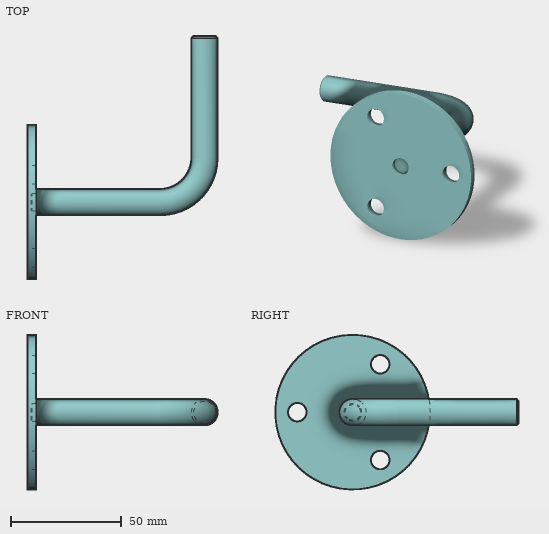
import cadquery as cq

plate_diameter = 70.0
plate_thickness = 4.0
screw_hole_diameter = 8.2
screw_circle_radius = 25.0
screw_hole_count = 3
spigot_hole_diameter = 8.0

rod_diameter = 12.0
bend_radius = 20.0
overall_x = 86.0
overall_y = 110.0
tip_chamfer = 1.0

spigot_diameter = spigot_hole_diameter
spigot_recess = 1.5
spigot_chamfer = 0.5

rod_radius = rod_diameter / 2
arm_x = overall_x - rod_radius
bend_start_x = arm_x - bend_radius
tip_y = overall_y - plate_diameter / 2


def make_plate():
    """Disc with a ring of screw holes and a central hole for the spigot."""
    plate = cq.Workplane("YZ").circle(plate_diameter / 2).extrude(plate_thickness)
    screw_holes = (
        cq.Workplane("YZ")
        .polarArray(screw_circle_radius, 180, 360, screw_hole_count)
        .circle(screw_hole_diameter / 2)
        .extrude(plate_thickness)
    )
    spigot_hole = cq.Workplane("YZ").circle(spigot_hole_diameter / 2).extrude(plate_thickness)
    return plate.cut(screw_holes).cut(spigot_hole)


def make_rod():
    """Round bar with one right-angle bend, a chamfered tip and a chamfered spigot."""
    path = (
        cq.Workplane("XY")
        .moveTo(plate_thickness, 0)
        .lineTo(bend_start_x, 0)
        .radiusArc((arm_x, bend_radius), -bend_radius)
        .lineTo(arm_x, tip_y)
    )
    bar = cq.Workplane("YZ", origin=(plate_thickness, 0, 0)).circle(rod_radius).sweep(path)
    bar = bar.faces(">Y").chamfer(tip_chamfer)
    spigot = (
        cq.Workplane("YZ", origin=(spigot_recess, 0, 0))
        .circle(spigot_diameter / 2)
        .extrude(plate_thickness - spigot_recess)
        .faces("<X")
        .chamfer(spigot_chamfer)
    )
    return bar.union(spigot)


plate = make_plate()
rod = make_rod()

result = cq.Compound.makeCompound([plate.val(), rod.val()])